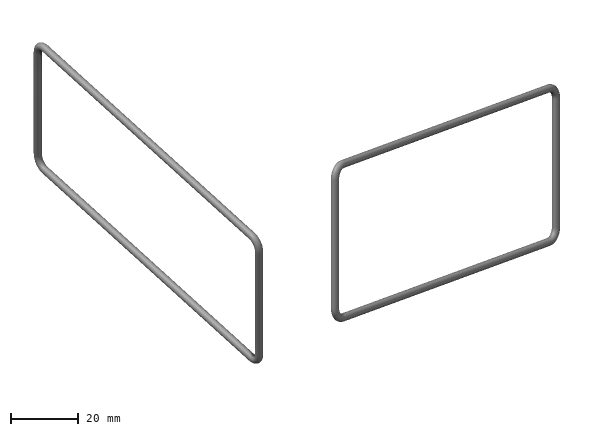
import cadquery as cq

outer_length = 115.4
outer_height = 49.4
wire_diameter = 2.4
outer_corner_radius = 5.0

wire_radius = wire_diameter / 2
center_length = outer_length - wire_diameter
center_height = outer_height - wire_diameter
bend_radius = outer_corner_radius - wire_radius
half_length = center_length / 2
half_height = center_height / 2
straight_half_length = half_length - bend_radius
straight_half_height = half_height - bend_radius


def straight_bar(start, direction, length):
    """Round bar running from start along direction."""
    profile = cq.Workplane(cq.Plane(origin=start, normal=direction))
    return profile.circle(wire_radius).extrude(length)


def corner_bend(x_side, z_side):
    """Quarter torus joining a horizontal bar to a vertical bar."""
    profile = cq.Workplane("YZ", origin=(x_side * straight_half_length, 0, z_side * half_height))
    bend_center = (0, -z_side * bend_radius)
    axis_end = (x_side * z_side, -z_side * bend_radius)
    return profile.circle(wire_radius).revolve(90, bend_center, axis_end)


ring = cq.Workplane("XY")
for side in (-1, 1):
    horizontal_start = (-straight_half_length, 0, side * half_height)
    ring = ring.union(straight_bar(horizontal_start, (1, 0, 0), 2 * straight_half_length))
    vertical_start = (side * half_length, 0, -straight_half_height)
    ring = ring.union(straight_bar(vertical_start, (0, 0, 1), 2 * straight_half_height))
    for z_side in (-1, 1):
        ring = ring.union(corner_bend(side, z_side))

result = ring